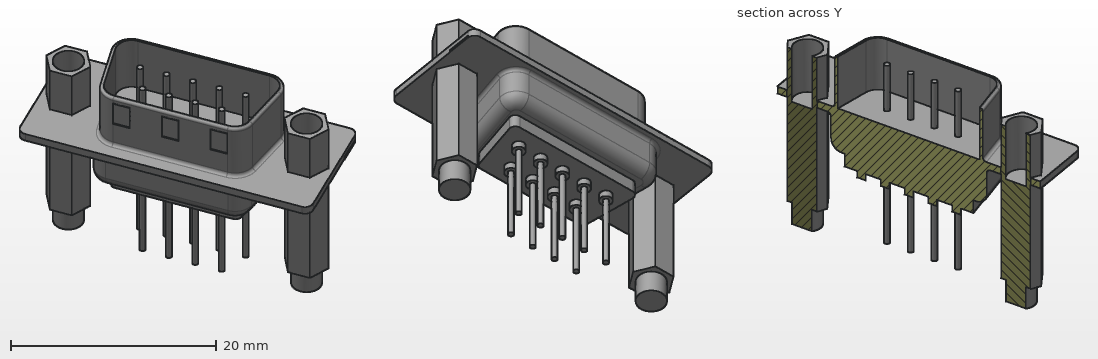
import cadquery as cq
import math


FLANGE_LENGTH = 30.77
FLANGE_WIDTH = 12.6
FLANGE_THICKNESS = 0.85
FLANGE_CORNER_RADIUS = 0.85

STRIP_LENGTH = 2.77
STRIP_HEIGHT = 0.25
STRIP_THICKNESS = 0.03
STRIP_CENTER_Y = 4.07

SIDE_ANGLE = 10.0
ROOT_FILLET = 0.37

SHELL_TOP_Z = 6.87
SHELL_HALF_WIDTH = 8.5
SHELL_HALF_HEIGHT = 4.6
SHELL_CORNER_RADIUS = 2.0
SHELL_WALL = 0.4
RIM_RADIUS = 0.28

RECESS_WIDTH = 1.75
RECESS_HEIGHT = 2.6
RECESS_DEPTH = 0.12
RECESS_TOP_Z = 6.13
RECESS_PITCH = 5.1

REAR_DEPTH = 4.2
REAR_HALF_WIDTH = 8.95
REAR_HALF_HEIGHT = 5.45
REAR_CORNER_RADIUS = 1.88
REAR_EDGE_FILLET = 1.3

INSULATOR_BOTTOM_Z = -5.67
INSULATOR_HALF_WIDTH = 7.35
INSULATOR_HALF_HEIGHT = 3.5
INSULATOR_CORNER_RADIUS = 0.68

PIN_DIAMETER = 0.62
PIN_TOP_Z = 6.15
PIN_BOTTOM_Z = -14.57
PIN_PITCH = 2.77
PIN_ROW_OFFSET = 1.42
FRONT_ROW_PINS = 4
BACK_ROW_PINS = 5
COLLAR_DIAMETER = 1.35
COLLAR_BOTTOM_Z = -6.4

STANDOFF_SPACING = 25.0
HEX_ACROSS_FLATS = 4.0
HEX_TOP_Z = 5.85
HEX_BOTTOM_Z = -12.07
STUD_DIAMETER = 3.08
STUD_BOTTOM_Z = PIN_BOTTOM_Z
SOCKET_DEPTH = 6.15

HEX_ACROSS_CORNERS = HEX_ACROSS_FLATS / math.cos(math.radians(30))


def d_prism(half_width, half_height, corner_radius, z_low, z_high):
    """Prism with a rounded trapezoid outline, wide side toward +Y."""
    taper = half_height * math.tan(math.radians(SIDE_ANGLE))
    wide = half_width + taper
    narrow = half_width - taper
    corners = [(-narrow, -half_height), (narrow, -half_height), (wide, half_height), (-wide, half_height)]
    prism = cq.Workplane("XY").workplane(offset=z_low).polyline(corners).close().extrude(z_high - z_low)
    return prism.edges("|Z").fillet(corner_radius)


def cylinder(x, y, diameter, z_low, z_high):
    return cq.Workplane("XY", origin=(x, y, z_low)).circle(diameter / 2).extrude(z_high - z_low)


def hex_prism(x, z_low, z_high):
    """Hexagonal prism on the X axis with two corners pointing along X."""
    return cq.Workplane("XY", origin=(x, 0, z_low)).polygon(6, HEX_ACROSS_CORNERS).extrude(z_high - z_low)


def flange():
    plate = cq.Workplane("XY").box(FLANGE_LENGTH, FLANGE_WIDTH, FLANGE_THICKNESS, centered=(True, True, False))
    plate = plate.edges("|Z").fillet(FLANGE_CORNER_RADIUS)
    strip = cq.Workplane("XY", origin=(FLANGE_LENGTH / 2, STRIP_CENTER_Y, 0)).box(
        2 * STRIP_THICKNESS, STRIP_LENGTH, STRIP_HEIGHT, centered=(True, True, False)
    )
    return plate.union(strip)


def mating_shell():
    """Outer form of the shell, still solid, with its rounded rim."""
    shell = d_prism(SHELL_HALF_WIDTH, SHELL_HALF_HEIGHT, SHELL_CORNER_RADIUS, FLANGE_THICKNESS, SHELL_TOP_Z)
    return shell.faces(">Z").edges().fillet(RIM_RADIUS)


def shell_cavity():
    """Space inside the shell, at an even wall thickness, down to the flange top."""
    half_width = SHELL_HALF_WIDTH - SHELL_WALL / math.cos(math.radians(SIDE_ANGLE))
    half_height = SHELL_HALF_HEIGHT - SHELL_WALL
    corner_radius = SHELL_CORNER_RADIUS - SHELL_WALL
    return d_prism(half_width, half_height, corner_radius, FLANGE_THICKNESS, SHELL_TOP_Z)


def shell_recesses():
    recesses = cq.Workplane("XY")
    center_z = RECESS_TOP_Z - RECESS_HEIGHT / 2
    for position in (-1, 0, 1):
        recess = cq.Workplane("XY").box(RECESS_WIDTH, 2 * RECESS_DEPTH, RECESS_HEIGHT)
        recesses = recesses.add(recess.translate((position * RECESS_PITCH, -SHELL_HALF_HEIGHT, center_z)))
    return recesses.combine()


def rear_body():
    body = d_prism(REAR_HALF_WIDTH, REAR_HALF_HEIGHT, REAR_CORNER_RADIUS, -REAR_DEPTH, 0)
    return body.faces("<Z").edges().fillet(REAR_EDGE_FILLET)


def root_edges(body, z):
    """Edges at height z where a D-shaped wall meets the flange."""
    reach_x = STANDOFF_SPACING / 2
    reach_y = FLANGE_WIDTH / 2 - ROOT_FILLET / 2
    margin = ROOT_FILLET / 2
    region = cq.selectors.BoxSelector((-reach_x, -reach_y, z - margin), (reach_x, reach_y, z + margin))
    return body.edges("#Z").edges(region)


def contact_pin(x, y):
    pin = cylinder(x, y, PIN_DIAMETER, PIN_BOTTOM_Z, PIN_TOP_Z)
    collar = cylinder(x, y, COLLAR_DIAMETER, COLLAR_BOTTOM_Z, INSULATOR_BOTTOM_Z)
    return pin.union(collar)


def make_connector():
    body = flange().union(mating_shell()).union(rear_body())
    for root_z in (FLANGE_THICKNESS, 0):
        body = root_edges(body, root_z).fillet(ROOT_FILLET)
    body = body.cut(shell_cavity()).cut(shell_recesses())
    insulator = d_prism(
        INSULATOR_HALF_WIDTH, INSULATOR_HALF_HEIGHT, INSULATOR_CORNER_RADIUS, INSULATOR_BOTTOM_Z, -REAR_DEPTH
    )
    body = body.union(insulator)
    for count, y in ((FRONT_ROW_PINS, -PIN_ROW_OFFSET), (BACK_ROW_PINS, PIN_ROW_OFFSET)):
        for index in range(count):
            body = body.union(contact_pin((index - (count - 1) / 2) * PIN_PITCH, y))
    for side in (-1, 1):
        body = body.cut(hex_prism(side * STANDOFF_SPACING / 2, 0, FLANGE_THICKNESS))
    return body.solids()


def make_standoff(x):
    """Hexagonal post with a stud below and a blind socket in its top."""
    post = hex_prism(x, HEX_BOTTOM_Z, HEX_TOP_Z)
    stud = cylinder(x, 0, STUD_DIAMETER, STUD_BOTTOM_Z, HEX_BOTTOM_Z)
    socket = cylinder(x, 0, STUD_DIAMETER, HEX_TOP_Z - SOCKET_DEPTH, HEX_TOP_Z)
    return post.union(stud).cut(socket).solids()


connector = make_connector()
standoffs = [make_standoff(side * STANDOFF_SPACING / 2) for side in (-1, 1)]

result = cq.Compound.makeCompound([connector.val(), *[standoff.val() for standoff in standoffs]])